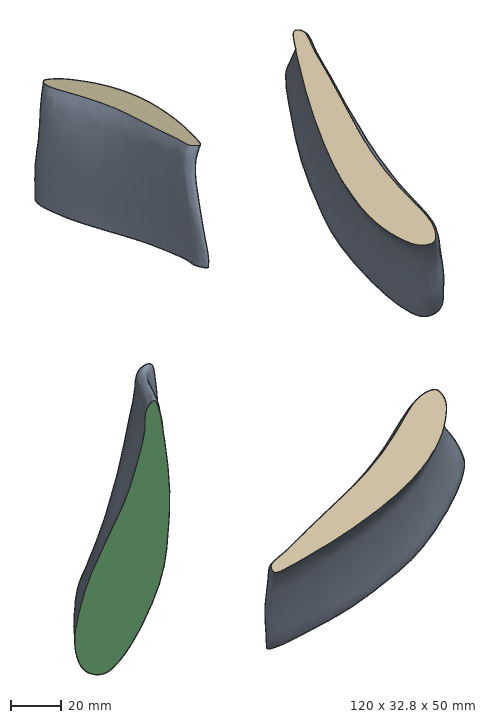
import cadquery as cq

height = 50.0

base_outline = [
    (0, 2.8), (1.8, 7.2), (6, 9.6), (18.7, 12.6), (32, 13.6), (44, 13), (56.6, 10.2), (69.3, 6.3),
    (81.9, 0.9), (90.4, -3.4), (98.5, -8.1), (100, -9.8), (97.5, -11.1), (91, -10),
    (78.4, -8), (66.5, -7.2), (53, -7.8), (40, -8.8), (31, -9.1), (18.7, -8.2), (8, -5.8), (2, -1.9),
]
top_outline = [
    (5.9, -0.2), (8.3, 4), (12.4, 6.7), (21.8, 10), (30.9, 11), (38.4, 10.7), (48.9, 9), (62.5, 5.2),
    (74.5, 0.9), (85.1, -3.7), (93.4, -7.6), (95.7, -9.8), (94.5, -11.6), (89.6, -11.5),
    (79, -9.6), (69.3, -7.9), (60.2, -6.2), (45.9, -4), (36.1, -3.5), (21.8, -4.3), (12.8, -4.7), (8.3, -3.4),
]

levels = [
    (0, 0, 119.9, -13.5, 16.2),
    (8.5, 1.0, 119.5, -14.0, 14.4),
    (17.5, 3.2, 118.3, -15.3, 12.5),
    (26.5, 6, 116.7, -16.0, 11.0),
    (35.5, 7.6, 114.8, -16.1, 10.1),
    (44.5, 7.8, 114.3, -15.7, 11.5),
    (height, 7.1, 114.8, -14.0, 13.1),
]


def blend(start, end, fraction):
    """Value the given fraction of the way from start to end."""
    return start + (end - start) * fraction


def stretch(values, low, high):
    """Values rescaled so that they span low to high."""
    bottom = min(values)
    span = max(values) - bottom
    return [blend(low, high, (value - bottom) / span) for value in values]


def section(z, leading, trailing, lowest, highest):
    """Closed outline at height z, blended from the end sections and fitted to its limits."""
    pairs = list(zip(base_outline, top_outline))
    xs = [blend(base[0], top[0], z / height) for base, top in pairs]
    ys = [blend(base[1], top[1], z / height) for base, top in pairs]
    points = zip(stretch(xs, leading, trailing), stretch(ys, lowest, highest))
    outline = [cq.Vector(x, y, z) for x, y in points]
    return cq.Wire.assembleEdges([cq.Edge.makeSpline(outline, periodic=True)])


blade = cq.Solid.makeLoft([section(*level) for level in levels])
result = cq.Workplane(obj=blade)